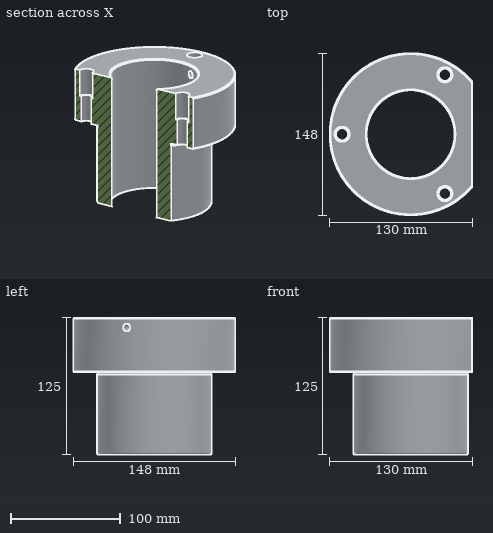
import cadquery as cq
import math

total_height = 125.0
flange_height = 50.0
flange_bottom = total_height - flange_height

flange_diameter = 148.0
flange_radius = flange_diameter / 2
flat_distance = 56.0
flange_chamfer = 1.0

spigot_diameter = 105.0
spigot_radius = spigot_diameter / 2
spigot_end_fillet = 2.0
relief_depth = 0.5
relief_height = 1.5

bore_diameter = 80.0
bore_chamfer = 1.0

mounting_angles = (60, 180, 300)
mounting_circle_radius = 62.5
mounting_hole_diameter = 11.0
counterbore_diameter = 14.0
counterbore_depth = 25.0

side_hole_diameter = 6.8
side_hole_angle = 160.0
side_hole_below_top = 9.0


def make_flange():
    """Chamfered disc with one flat cut parallel to the Y axis."""
    disc = (
        cq.Workplane("XY", origin=(0, 0, flange_bottom))
        .circle(flange_radius)
        .extrude(flange_height)
        .edges()
        .chamfer(flange_chamfer)
    )
    beyond_flat = cq.Workplane("XY", origin=(flat_distance, 0, flange_bottom)).box(
        flange_diameter, flange_diameter, flange_height, centered=(False, True, False)
    )
    return disc.cut(beyond_flat)


def make_spigot():
    """Cylinder with a rounded lower end, chamfered up to a narrow neck below the flange."""
    body = (
        cq.Workplane("XY")
        .circle(spigot_radius)
        .extrude(flange_bottom - relief_height)
        .faces("<Z")
        .edges()
        .fillet(spigot_end_fillet)
        .faces(">Z")
        .edges()
        .chamfer(relief_depth)
    )
    neck = (
        cq.Workplane("XY", origin=(0, 0, flange_bottom - relief_height))
        .circle(spigot_radius - relief_depth)
        .extrude(relief_height)
    )
    return body.union(neck)


def make_bore():
    """Through bore with a chamfered mouth at the top."""
    radius = bore_diameter / 2
    mouth_radius = radius + bore_chamfer
    return (
        cq.Workplane("XZ")
        .moveTo(0, 0)
        .lineTo(radius, 0)
        .lineTo(radius, total_height - bore_chamfer)
        .lineTo(mouth_radius, total_height)
        .lineTo(0, total_height)
        .close()
        .revolve(360, (0, 0, 0), (0, 1, 0))
    )


def drill_mounting_holes(body):
    """Counterbored through holes spaced around the flange."""
    centres = [
        (
            mounting_circle_radius * math.cos(math.radians(angle)),
            mounting_circle_radius * math.sin(math.radians(angle)),
        )
        for angle in mounting_angles
    ]
    return (
        body.faces(">Z")
        .workplane(origin=(0, 0, total_height))
        .pushPoints(centres)
        .cboreHole(mounting_hole_diameter, counterbore_diameter, counterbore_depth)
    )


def make_side_hole():
    """Cylinder running along one radius, from the axis to the flange rim."""
    angle = math.radians(side_hole_angle)
    outward = cq.Vector(math.cos(angle), math.sin(angle), 0)
    height = cq.Vector(0, 0, total_height - side_hole_below_top)
    return cq.Solid.makeCylinder(
        side_hole_diameter / 2,
        flange_radius,
        height,
        outward,
    )


bushing = make_flange().union(make_spigot()).cut(make_bore())
bushing = drill_mounting_holes(bushing)
result = bushing.cut(cq.Workplane(make_side_hole()))